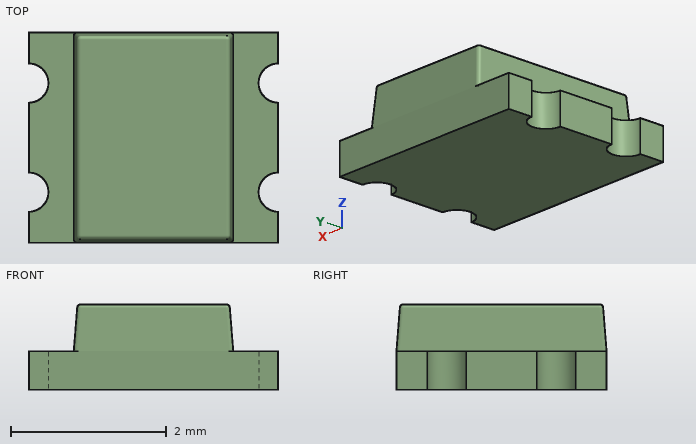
import cadquery as cq

board_length = 3.2
board_width = 2.7
board_height = 0.5

notch_radius = 0.25
notch_pitch = 1.4

total_height = 1.1
lens_length = 2.05
lens_width = board_width
lens_height = total_height - board_height
lens_draft_angle = 4.5
lens_edge_radius = 0.05


def make_board():
    """Flat board with two half-round notches through each end."""
    board = cq.Workplane("XY").box(
        board_length, board_width, board_height, centered=(True, True, False)
    )
    notches = (
        cq.Workplane("XY")
        .rarray(board_length, notch_pitch, 2, 2)
        .circle(notch_radius)
        .extrude(board_height)
    )
    return board.cut(notches)


def make_lens():
    """Drafted block with rounded corner and top edges."""
    block = (
        cq.Workplane("XY")
        .workplane(offset=board_height)
        .rect(lens_length, lens_width)
        .extrude(lens_height, taper=lens_draft_angle)
    )
    return block.edges("not <Z").fillet(lens_edge_radius)


result = make_board().union(make_lens())